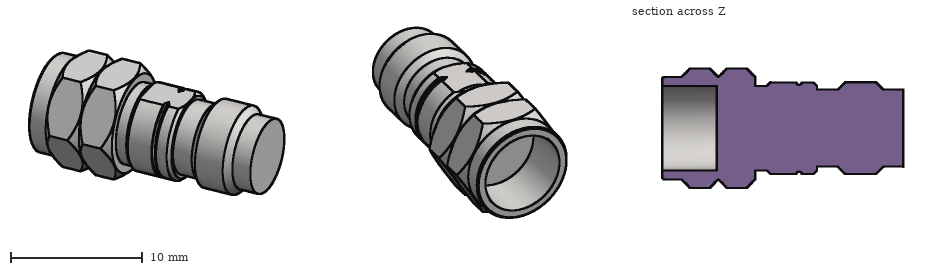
import cadquery as cq
import math

total_length = 18.29
nut_start = 1.46
nut_length = 2.8
nut_count = 2
nut_end = nut_start + nut_count * nut_length
collar_start = 7.94
collar_end = 11.76
band_start = 13.33
band_end = 16.77

sleeve_radius = 3.9
bore_radius = 3.2
neck_radius = 3.22
collar_radius = 3.5
band_radius = collar_radius
tail_radius = 2.95

bore_depth = 4.13
sleeve_chamfer = 0.11
collar_chamfer = collar_radius - neck_radius
band_chamfer = band_radius - tail_radius

across_flats = 7.86
across_corners = across_flats / math.cos(math.pi / 6)
nut_face_radius = sleeve_radius

flat_start = 8.1
flat_height = 3.18

groove_center = 10.39
groove_width = 0.37
groove_wall_depth = 0.11
groove_depth = 0.2


def revolve_profile(points):
    """Turn a closed (x, radius) outline around the X axis."""
    return cq.Workplane("XY").polyline(points).close().revolve(360, (0, 0, 0), (1, 0, 0))


def cylinder(start, end, radius):
    return cq.Workplane("YZ", origin=(start, 0, 0)).circle(radius).extrude(end - start)


def chamfered_cylinder(start, end, radius, chamfer):
    return cylinder(start, end, radius).edges("%CIRCLE").chamfer(chamfer)


def make_nut(start):
    """Hexagon whose corners are turned down by a 45 degree cone at each end."""
    end = start + nut_length
    corner_radius = across_corners / 2
    corner_drop = corner_radius - nut_face_radius
    hexagon = cq.Workplane("YZ", origin=(start, 0, 0)).polygon(6, across_corners).extrude(nut_length)
    envelope = chamfered_cylinder(start, end, corner_radius, corner_drop)
    return hexagon.intersect(envelope)


def make_groove():
    """Ring with straight side walls and a V-shaped bottom."""
    left = groove_center - groove_width / 2
    right = groove_center + groove_width / 2
    clear_radius = collar_radius + 0.18
    wall_radius = collar_radius - groove_wall_depth
    return revolve_profile([
        (left, clear_radius),
        (left, wall_radius),
        (groove_center, collar_radius - groove_depth),
        (right, wall_radius),
        (right, clear_radius),
    ])


def make_collar():
    """Chamfered collar with two wrench flats and a groove."""
    collar = chamfered_cylinder(collar_start, collar_end, collar_radius, collar_chamfer)
    flat_length = collar_end - flat_start
    for side in (1, -1):
        cutter = cq.Workplane("XY").box(flat_length, 2 * collar_radius, collar_radius)
        center_height = side * (flat_height + collar_radius / 2)
        collar = collar.cut(cutter.translate((flat_start + flat_length / 2, 0, center_height)))
    return collar.cut(make_groove())


sleeve = cylinder(0, nut_end, sleeve_radius).faces("<X").edges().chamfer(sleeve_chamfer)

body = sleeve.union(cylinder(nut_end, collar_start, neck_radius))
body = body.union(make_collar())
body = body.union(cylinder(collar_end, total_length, tail_radius))
body = body.union(chamfered_cylinder(band_start, band_end, band_radius, band_chamfer))

for index in range(nut_count):
    body = body.union(make_nut(nut_start + index * nut_length))

result = body.cut(cylinder(0, bore_depth, bore_radius))